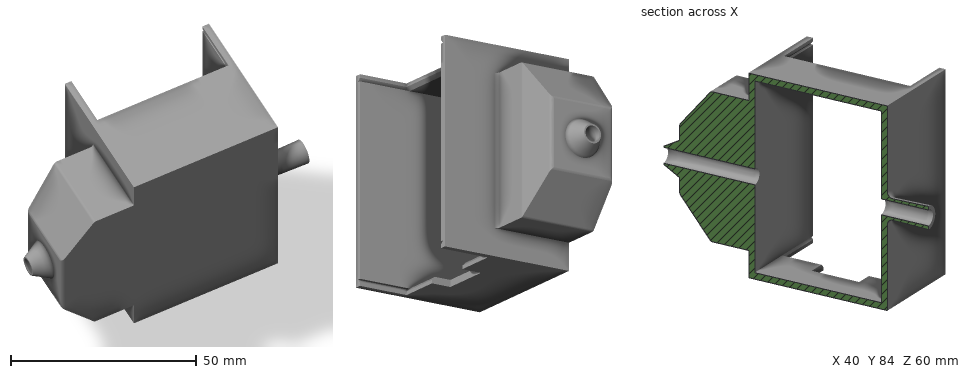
import cadquery as cq

box_depth = 40.0
box_width = 44.0
box_height = 60.0
wall = 2.0
inner_width = box_width - 2 * wall

opening_depth = 15.0
dovetail = wall / 2
notch_width = 15.0
notch_end = 21.0

hood_left = 17.0
hood_height = 44.0
hood_straight = 12.0
hood_length = 22.0
tip_left = 20.0
tip_height = 20.3
edge_radius = 1.0

axis_x = 30.0
bore_diameter = 4.5
nozzle_base_diameter = 11.0
nozzle_tip_diameter = 5.5
nozzle_length = 4.95
spigot_base_diameter = 6.5
spigot_end_diameter = 7.0
spigot_length = 84 - box_width - hood_length - nozzle_length
spigot_fillet = 1.5


def block(x_start, x_end, y_start, y_end, z_start, z_end):
    """Axis-aligned block between the given limits."""
    size = (x_end - x_start, y_end - y_start, z_end - z_start)
    return cq.Workplane("XY").box(*size, centered=False).translate((x_start, y_start, z_start))


def hood_section(left, height, y):
    """Rectangle normal to Y, from the left limit to the back of the box."""
    return (
        cq.Workplane("XZ", origin=((left + box_depth) / 2, y, 0))
        .rect(box_depth - left, height)
    )


def make_hood():
    """Straight block tapering to a smaller tip, with rounded ridges and a cove at its root."""
    straight = hood_section(hood_left, hood_height, 0).extrude(hood_straight)
    taper = (
        hood_section(hood_left, hood_height, -hood_straight)
        .workplane(offset=hood_length - hood_straight)
        .center((tip_left - hood_left) / 2, 0)
        .rect(box_depth - tip_left, tip_height)
        .loft(ruled=True)
    )
    ridge_box = cq.selectors.BoxSelector(
        (hood_left - 0.8, -hood_straight - 0.1, -hood_height),
        (box_depth - 0.8, -hood_straight + 0.1, hood_height),
    )
    hood = straight.union(taper)
    hood = hood.edges(ridge_box).fillet(edge_radius)
    hood = hood.faces("<Y").edges().fillet(edge_radius)
    cove = (
        cq.Workplane("XY", origin=(0, 0, -hood_height / 2))
        .moveTo(hood_left, 0)
        .lineTo(hood_left - edge_radius, 0)
        .radiusArc((hood_left, -edge_radius), edge_radius)
        .close()
        .extrude(hood_height)
    )
    return hood.union(cove)


def make_nozzle():
    """Cone on the hood tip."""
    return (
        cq.Workplane("XZ", origin=(axis_x, -hood_length, 0))
        .circle(nozzle_base_diameter / 2)
        .workplane(offset=nozzle_length)
        .circle(nozzle_tip_diameter / 2)
        .loft()
    )


def make_spigot():
    """Slightly flared pipe with a filleted root, revolved about the bore axis."""
    base_radius = spigot_base_diameter / 2
    return (
        cq.Workplane("XY", origin=(axis_x, box_width, 0))
        .moveTo(0, 0)
        .lineTo(base_radius + spigot_fillet, 0)
        .radiusArc((base_radius, spigot_fillet), spigot_fillet)
        .lineTo(spigot_end_diameter / 2, spigot_length)
        .lineTo(0, spigot_length)
        .close()
        .revolve(360, (0, 0, 0), (0, 1, 0))
    )


def make_top_opening():
    """Plate-thick cutter: straight outer half, inner half flaring into the walls."""
    half_height = box_height / 2
    start = -2 * dovetail
    outer = block(start, opening_depth, wall, box_width - wall, half_height - dovetail, half_height)
    length = opening_depth - start
    flare = (
        cq.Workplane("XY", origin=((opening_depth + start) / 2, box_width / 2, half_height - dovetail))
        .rect(length, inner_width)
        .workplane(offset=-dovetail)
        .rect(length + 2 * dovetail, inner_width + 2 * dovetail)
        .loft()
    )
    return outer.union(flare)


inner_half_height = box_height / 2 - wall
result = block(0, box_depth, 0, box_width, -box_height / 2, box_height / 2)
result = result.cut(
    block(0, box_depth - wall, wall, box_width - wall, -inner_half_height, inner_half_height)
)
top_opening = make_top_opening()
result = result.cut(top_opening).cut(top_opening.mirror("XY"))

notch_start = (box_width - notch_width) / 2
result = result.cut(
    block(0, notch_end, notch_start, notch_start + notch_width, -box_height / 2, -inner_half_height)
)

result = result.union(make_hood()).union(make_nozzle()).union(make_spigot())
bore_length = box_width + spigot_length + hood_length + nozzle_length
bore = (
    cq.Workplane("XZ", origin=(axis_x, box_width + spigot_length, 0))
    .circle(bore_diameter / 2)
    .extrude(bore_length)
)
result = result.cut(bore)